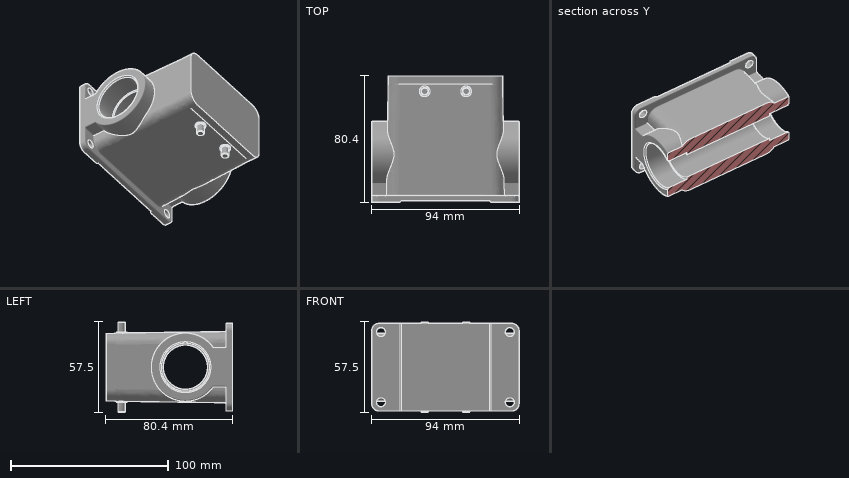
import cadquery as cq
import math

housing_depth = 80.38

flange_width = 94.0
flange_height = 56.0
flange_thickness = 4.3
flange_corner_radius = 5.0
screw_hole_diameter = 5.6
screw_spacing_x = 82.0
screw_spacing_z = 44.6

recess_depth = 1.0
recess_floor_width = 56.0
recess_mouth_width = recess_floor_width + 2 * recess_depth

body_base_width = 75.1
body_base_height = 45.6
body_corner_radius = 7.6
draft_angle = 0.78
body_end_y = 74.5

rim_width = 73.0
rim_height = 43.1
rim_corner_radius = 7.0
rim_start_y = 75.2

entry_y = 30.0
entry_radius = 21.7
neck_width = 25.0
bore_radius = 14.0
socket_radius = 15.3
socket_depth = 15.0
socket_chamfer = 0.9

pin_spacing = 26.4
pin_y = 70.6
pin_diameter = 4.9
pin_span = 57.51
pin_tip_chamfer = 0.4
collar_diameter = 6.8
collar_span = 45.0

edge_radius = 0.8
root_radius = 0.55

half_flange_width = flange_width / 2
half_neck_width = neck_width / 2
taper_loss = 2 * body_end_y * math.tan(math.radians(draft_angle))
body_end_width = body_base_width - taper_loss
body_end_height = body_base_height - taper_loss


def rounded_section(y, width, height, radius):
    """Rounded rectangle lying across Y at the given distance from the mounting face."""
    section = cq.Sketch().rect(width, height).vertices().fillet(radius)
    return section.moved(cq.Location(cq.Vector(0, 0, -y)))


def prism_along_y(section, length):
    return cq.Workplane("XZ").placeSketch(section).extrude(-length)


def loft_along_y(first, last):
    return cq.Workplane("XZ").placeSketch(first, last).loft()


def make_flange():
    """Plain mounting plate with rounded corners."""
    outline = rounded_section(0, flange_width, flange_height, flange_corner_radius)
    return prism_along_y(outline, flange_thickness)


def make_body():
    """Tapering walls, a short bevel and the straight rim band."""
    base = rounded_section(0, body_base_width, body_base_height, body_corner_radius)
    end = rounded_section(body_end_y, body_end_width, body_end_height, body_corner_radius)
    rim = rounded_section(rim_start_y, rim_width, rim_height, rim_corner_radius)
    walls = loft_along_y(base, end)
    bevel = loft_along_y(end, rim)
    band = prism_along_y(rim, housing_depth - rim_start_y)
    return walls.union(bevel).union(band)


def make_frame():
    """Flange and both cable entries, with their common outer edge rounded."""
    flange = make_flange()
    tube = cq.Workplane("YZ").center(entry_y, 0).circle(entry_radius).extrude(half_flange_width, both=True)
    neck = cq.Workplane("YZ").center(entry_y / 2, 0).rect(entry_y, neck_width)
    frame = flange.union(tube).union(neck.extrude(half_flange_width, both=True))

    neck_corners = cq.selectors.BoxSelector(
        (-half_flange_width, flange_thickness / 2, -half_neck_width - root_radius),
        (half_flange_width, entry_y, half_neck_width + root_radius),
    )
    frame = frame.edges("|X").edges(neck_corners).fillet(root_radius)

    flange_sides = cq.selectors.BoxSelector(
        (-flange_width, -flange_thickness, -flange_height),
        (flange_width, 3 * flange_thickness / 4, flange_height),
    )
    end_outline = frame.faces("<X or >X").edges().edges(cq.selectors.InverseSelector(flange_sides))
    return end_outline.fillet(edge_radius)


def make_rooted_body():
    """Body standing on a pad inside the flange, with a small fillet around its root."""
    pad_border = 4 * root_radius
    pad = cq.Workplane("XZ").rect(body_base_width + pad_border, body_base_height + pad_border)
    body = pad.extrude(-flange_thickness).union(make_body())
    root_edges = cq.selectors.BoxSelector(
        (-body_base_width / 2, flange_thickness - root_radius, -body_base_height / 2),
        (body_base_width / 2, flange_thickness + root_radius, body_base_height / 2),
    )
    return body.edges(root_edges).fillet(root_radius)


def cut_bore(shape):
    """Through bore along X with a chamfered socket at each end."""
    bore = cq.Workplane("YZ").center(entry_y, 0).circle(bore_radius).extrude(half_flange_width, both=True)
    shape = shape.cut(bore)
    for side in (-1, 1):
        mouth = cq.Workplane("YZ", origin=(side * half_flange_width, 0, 0)).center(entry_y, 0)
        socket = mouth.circle(socket_radius).extrude(-side * socket_depth)
        flare = cq.Solid.makeCone(
            socket_radius + socket_chamfer,
            socket_radius,
            socket_chamfer,
            cq.Vector(side * half_flange_width, entry_y, 0),
            cq.Vector(-side, 0, 0),
        )
        shape = shape.cut(socket).cut(cq.Workplane(obj=flare))
    return shape


def cut_recess(shape):
    """Shallow channel across the mounting face, running the full height of the flange."""
    half_mouth = recess_mouth_width / 2
    half_floor = recess_floor_width / 2
    profile = [(-half_mouth, 0), (-half_floor, recess_depth), (half_floor, recess_depth), (half_mouth, 0)]
    recess = cq.Workplane("XY").polyline(profile).close().extrude(flange_height / 2, both=True)
    return shape.cut(recess)


def cut_screw_holes(shape):
    holes = (
        cq.Workplane("XZ")
        .rect(screw_spacing_x, screw_spacing_z, forConstruction=True)
        .vertices()
        .circle(screw_hole_diameter / 2)
        .extrude(-flange_thickness)
    )
    return shape.cut(holes)


def make_pin(x):
    """Pin along Z with a collar where it leaves the walls on both sides."""
    base = cq.Workplane("XY").center(x, pin_y)
    pin = base.circle(pin_diameter / 2).extrude(pin_span / 2, both=True)
    pin = pin.faces("<Z or >Z").chamfer(pin_tip_chamfer)
    collar = base.circle(collar_diameter / 2).extrude(collar_span / 2, both=True)
    return pin.union(collar)


result = make_frame().union(make_rooted_body())
for pin_x in (-pin_spacing / 2, pin_spacing / 2):
    result = result.union(make_pin(pin_x))
result = cut_bore(result)
result = cut_recess(result)
result = cut_screw_holes(result)